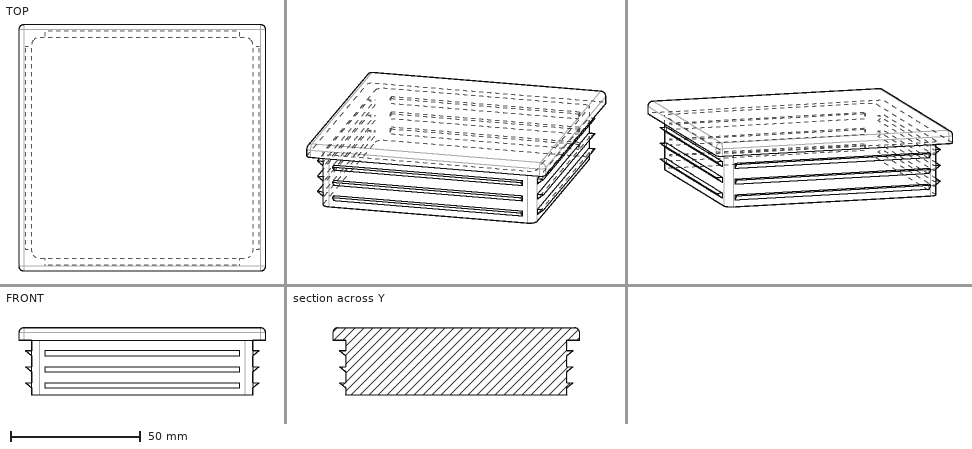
import cadquery as cq

cap_size = 95.0
total_height = 26.0
cap_thickness = 4.9
cap_radius = 2.0

plug_inset = 4.9
plug_corner_radius = 3.0
plug_size = cap_size - 2 * plug_inset
plug_height = total_height - cap_thickness

fin_reach = 2.5
fin_height = 2.0
fin_count = 3
fin_pitch = 6.2
lowest_fin_top = 4.75
flat_length = plug_size - 2 * plug_corner_radius
short_fin_gap = 2.0
long_fin_gap = 0.5
short_fin_length = flat_length - 2 * short_fin_gap
long_fin_length = flat_length - 2 * long_fin_gap
fin_overlap = 0.5


def make_cap():
    """Plate with rounded corners and a rounded top edge."""
    plate = cq.Workplane("XY").workplane(offset=plug_height).rect(cap_size, cap_size).extrude(cap_thickness)
    return plate.edges("|Z or >Z").fillet(cap_radius)


def make_plug():
    """Square plug with rounded corners."""
    block = cq.Workplane("XY").rect(plug_size, plug_size).extrude(plug_height)
    return block.edges("|Z").fillet(plug_corner_radius)


def make_fin(length, top):
    """Fin on the +X face, centred along Y."""
    face = plug_size / 2
    profile = [
        (face - fin_overlap, top),
        (face + fin_reach, top),
        (face, top - fin_height),
        (face - fin_overlap, top - fin_height),
    ]
    return cq.Workplane("XZ").polyline(profile).close().extrude(length / 2, both=True)


result = make_cap().union(make_plug())
for level in range(fin_count):
    fin_top = lowest_fin_top + level * fin_pitch
    for angle in (0, 90, 180, 270):
        fin_length = long_fin_length if angle % 180 == 0 else short_fin_length
        fin = make_fin(fin_length, fin_top).rotate((0, 0, 0), (0, 0, 1), angle)
        result = result.union(fin)